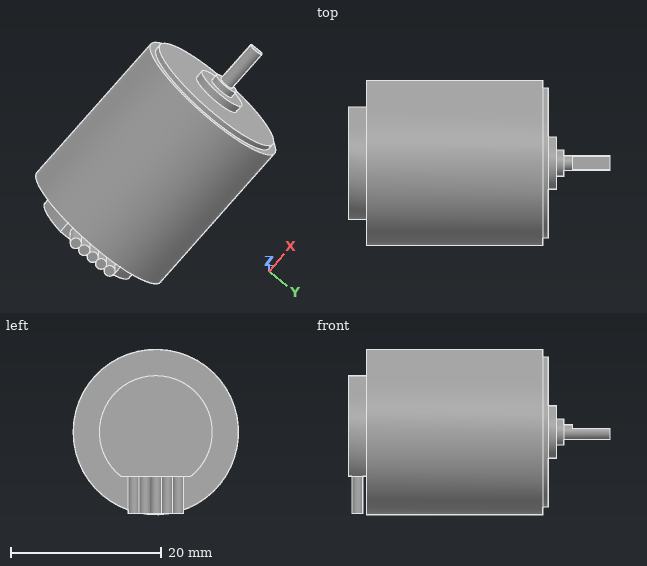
import cadquery as cq

CAN_DIAMETER = 22.0
CAN_LENGTH = 23.45

CAP_DIAMETER = 15.0
CAP_LENGTH = 2.4
CAP_FLAT_Z = -5.9

FLANGE_DIAMETER = 20.0
FLANGE_LENGTH = 0.75
BOSS_DIAMETER = 7.0
BOSS_LENGTH = 1.1
BEARING_DIAMETER = 3.5
BEARING_LENGTH = 0.95

SHAFT_DIAMETER = 2.0
SHAFT_ROUND_LENGTH = 1.15
SHAFT_FLAT_LENGTH = 5.0
SHAFT_FLAT_Z = 0.5

WIRE_COUNT = 5
WIRE_DIAMETER = 1.48
WIRE_OVERLAP = 0.005
WIRE_PITCH = WIRE_DIAMETER - WIRE_OVERLAP
WIRE_BOTTOM_Z = -10.85


def disc(start_x, diameter, length):
    """Cylinder on the motor axis, running in +X from start_x."""
    return cq.Workplane("YZ", origin=(start_x, 0, 0)).circle(diameter / 2).extrude(length)


def make_front_steps():
    """Can, stepped discs and round shaft; returns the solid and the X of the shaft tip."""
    steps = [
        (CAN_DIAMETER, CAN_LENGTH),
        (FLANGE_DIAMETER, FLANGE_LENGTH),
        (BOSS_DIAMETER, BOSS_LENGTH),
        (BEARING_DIAMETER, BEARING_LENGTH),
        (SHAFT_DIAMETER, SHAFT_ROUND_LENGTH + SHAFT_FLAT_LENGTH),
    ]
    body = cq.Workplane("YZ")
    start_x = 0.0
    for diameter, length in steps:
        body = body.union(disc(start_x, diameter, length))
        start_x += length
    return body, start_x


def make_shaft_flat_cutter(shaft_end_x):
    """Block that removes the top of the shaft to leave the D-shaped end."""
    flat_start_x = shaft_end_x - SHAFT_FLAT_LENGTH
    return cq.Workplane("XY", origin=(flat_start_x, 0, SHAFT_FLAT_Z)).box(
        SHAFT_FLAT_LENGTH, SHAFT_DIAMETER, SHAFT_DIAMETER, centered=(False, True, False)
    )


def make_cap():
    """Rear cap with the flat on its underside."""
    below_flat = cq.Workplane("XY", origin=(-CAP_LENGTH / 2, 0, CAP_FLAT_Z - CAP_DIAMETER / 2)).box(
        CAP_LENGTH, CAP_DIAMETER, CAP_DIAMETER
    )
    return disc(-CAP_LENGTH, CAP_DIAMETER, CAP_LENGTH).cut(below_flat)


def make_wire(y):
    """One wire at mid-thickness of the cap, from its lower end up to the cap flat."""
    return (
        cq.Workplane("XY", origin=(-CAP_LENGTH / 2, y, WIRE_BOTTOM_Z))
        .circle(WIRE_DIAMETER / 2)
        .extrude(CAP_FLAT_Z - WIRE_BOTTOM_Z)
    )


motor, shaft_tip_x = make_front_steps()
motor = motor.cut(make_shaft_flat_cutter(shaft_tip_x))
motor = motor.union(make_cap())

for index in range(WIRE_COUNT):
    wire_y = (index - (WIRE_COUNT - 1) / 2) * WIRE_PITCH
    motor = motor.union(make_wire(wire_y))

result = motor